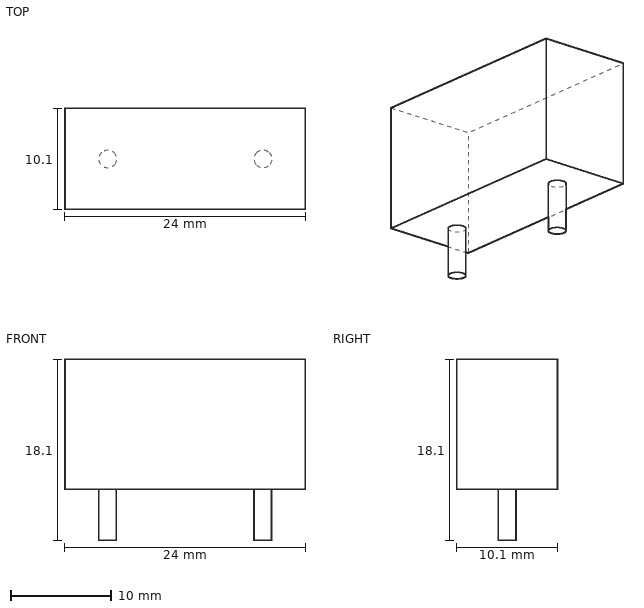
import cadquery as cq

housing_length = 24.0
housing_width = 10.1
housing_height = 13.0

overall_height = 18.1
pin_diameter = 1.78
pin_spacing = 15.5
pin_length = overall_height - housing_height


def make_housing():
    """Plain rectangular block."""
    return cq.Workplane("XY").box(
        housing_length, housing_width, housing_height, centered=(True, True, False)
    )


def make_pin(x):
    """Round pin that meets the underside of the housing at the given X."""
    return cq.Workplane("XY").center(x, 0).circle(pin_diameter / 2).extrude(-pin_length)


housing = make_housing()
pins = [make_pin(x) for x in (-pin_spacing / 2, pin_spacing / 2)]

result = cq.Compound.makeCompound([housing.val(), *[pin.val() for pin in pins]])